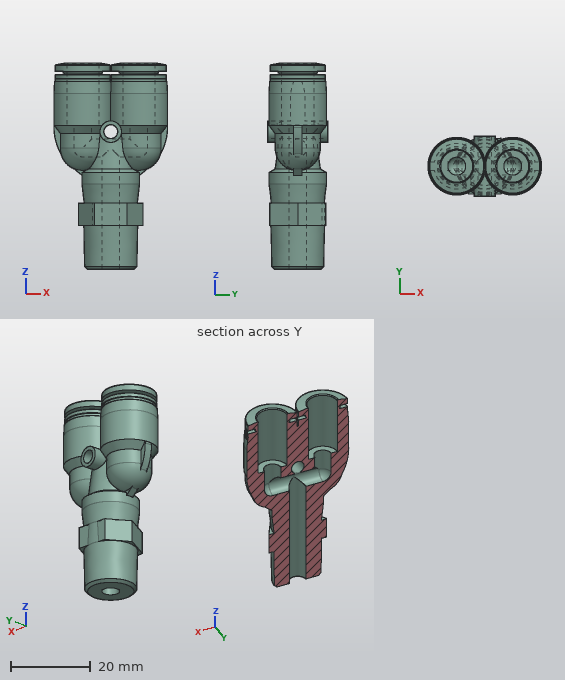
import cadquery as cq
import math

total_height = 51.7
body_diameter = 14.5
overall_width = 28.5
port_offset = (overall_width - body_diameter) / 2
body_radius = body_diameter / 2

elbow_radius = 5.7
elbow_center_z = 30.4
elbow_top_z = 34.0
body_bottom_z = 36.1
body_taper_z = 44.05
body_shoulder_z = 47.0
body_top_z = 48.8
body_shoulder_radius = 7.1
body_rim_radius = 6.95
body_rim_chamfer = 0.1
body_groove_z = 47.75
body_groove_width = 0.15
body_groove_depth = 0.1
neck_radius = 4.9
neck_foot_radius = 4.6
neck_taper_z = 49.2
release_ring_radius = 13.8 / 2
release_ring_bottom_z = 49.6
release_ring_edge_z = 51.05
release_ring_rim_z = 51.25
release_ring_rim_inset = 0.15

socket_diameter = 8.0
socket_chamfer = 0.25
socket_floor_z = body_bottom_z
passage_diameter = 4.5

stem_radius = elbow_radius
stem_top_radius = 4.5
collar_chamfer_top_z = 25.2
collar_top_z = 24.25
collar_bottom_z = 21.4
collar_foot_radius = 6.65
hex_top_z = 16.6
hex_bottom_z = 10.95
hex_across_corners = 16.2
hex_cut_corner = (-4.6, 6.05)
thread_top_radius = 6.75
thread_end_radius = 6.55
thread_end_z = 0.7
thread_tip_radius = 5.8

boss_diameter = 5.4
boss_length = 15.1
boss_hole_diameter = 3.4
boss_z = 34.5

rib_thickness = 2.05
rib_arc_radius = 13.05
rib_arc_top_z = 35.5
rib_arc_angle = math.radians(50)
rib_foot_x = 6.7


def cylinder(radius, bottom_z, top_z, x=0.0):
    """Vertical cylinder between two heights."""
    return cq.Workplane("XY", origin=(x, 0, bottom_z)).circle(radius).extrude(top_z - bottom_z)


def revolve_profile(profile):
    """Turn a closed radius-height outline around the Z axis."""
    return profile.close().revolve(360, (0, 0, 0), (0, 1, 0))


def port_outside():
    """Round-ended elbow, tapered body, neck and release ring, on the Z axis."""
    elbow_mid = elbow_radius * math.sqrt(0.5)
    groove_radius = body_rim_radius - body_groove_depth
    profile = (
        cq.Workplane("XZ")
        .moveTo(0, elbow_center_z - elbow_radius)
        .threePointArc((elbow_mid, elbow_center_z - elbow_mid), (elbow_radius, elbow_center_z))
        .lineTo(elbow_radius, elbow_top_z)
        .lineTo(body_radius, body_bottom_z)
        .lineTo(body_radius, body_taper_z)
        .lineTo(body_shoulder_radius, body_shoulder_z)
        .lineTo(body_rim_radius, body_shoulder_z)
        .lineTo(body_rim_radius, body_groove_z - body_groove_width / 2)
        .lineTo(groove_radius, body_groove_z - body_groove_width / 2)
        .lineTo(groove_radius, body_groove_z + body_groove_width / 2)
        .lineTo(body_rim_radius, body_groove_z + body_groove_width / 2)
        .lineTo(body_rim_radius, body_top_z - body_rim_chamfer)
        .lineTo(body_rim_radius - body_rim_chamfer, body_top_z)
        .lineTo(neck_foot_radius, body_top_z)
        .lineTo(neck_radius, neck_taper_z)
        .lineTo(neck_radius, release_ring_bottom_z)
        .lineTo(release_ring_radius, release_ring_bottom_z)
        .lineTo(release_ring_radius, release_ring_edge_z)
        .lineTo(release_ring_radius - release_ring_rim_inset, release_ring_rim_z)
        .lineTo(socket_diameter / 2 + socket_chamfer, total_height)
        .lineTo(0, total_height)
    )
    return revolve_profile(profile)


def stem():
    """Tapered centre body, collar, hexagon and tapered thread."""
    profile = (
        cq.Workplane("XZ")
        .lineTo(thread_tip_radius, 0)
        .lineTo(thread_end_radius, thread_end_z)
        .lineTo(thread_top_radius, hex_bottom_z)
        .lineTo(collar_foot_radius, hex_top_z)
        .lineTo(body_radius, collar_bottom_z)
        .lineTo(body_radius, collar_top_z)
        .lineTo(stem_radius, collar_chamfer_top_z)
        .lineTo(stem_top_radius, boss_z)
        .lineTo(0, boss_z)
    )
    half_corners = hex_across_corners / 2
    half_flats = half_corners * math.cos(math.radians(30))
    corners = [
        (half_corners, 0),
        (half_corners / 2, half_flats),
        hex_cut_corner,
        (-half_corners, 0),
        (-half_corners / 2, -half_flats),
        (half_corners / 2, -half_flats),
    ]
    hexagon = (
        cq.Workplane("XY", origin=(0, 0, hex_bottom_z))
        .polyline(corners)
        .close()
        .extrude(hex_top_z - hex_bottom_z)
    )
    return revolve_profile(profile).union(hexagon)


def ribs():
    """Thin web under both ports; each edge is an arc running into a tangent line."""
    edge_x = overall_width / 2
    arc_center_x = edge_x - rib_arc_radius

    def arc_point(angle):
        return (
            arc_center_x + rib_arc_radius * math.cos(angle),
            rib_arc_top_z - rib_arc_radius * math.sin(angle),
        )

    arc_end_x, arc_end_z = arc_point(rib_arc_angle)
    foot_z = arc_end_z - (arc_end_x - rib_foot_x) / math.tan(rib_arc_angle)
    right_rib = (
        cq.Workplane("XZ")
        .moveTo(0, body_bottom_z)
        .lineTo(edge_x, body_bottom_z)
        .lineTo(edge_x, rib_arc_top_z)
        .threePointArc(arc_point(rib_arc_angle / 2), (arc_end_x, arc_end_z))
        .lineTo(rib_foot_x, foot_z)
        .lineTo(0, foot_z)
        .close()
        .extrude(rib_thickness / 2, both=True)
    )
    return right_rib.union(right_rib.mirror("YZ"))


def cross_cylinder(diameter):
    """Cylinder along Y at the boss height."""
    return (
        cq.Workplane("XZ", origin=(0, 0, boss_z))
        .circle(diameter / 2)
        .extrude(boss_length / 2, both=True)
    )


def port_bore(x):
    """Chamfered tube socket and the round-ended passage below it."""
    socket = cylinder(socket_diameter / 2, socket_floor_z, total_height, x)
    mouth = (
        cq.Workplane("XY", origin=(x, 0, total_height))
        .circle(socket_diameter / 2 + socket_chamfer)
        .workplane(offset=-socket_chamfer)
        .circle(socket_diameter / 2)
        .loft()
    )
    passage = cylinder(passage_diameter / 2, elbow_center_z, socket_floor_z, x)
    passage_end = cq.Workplane("XY", origin=(x, 0, elbow_center_z)).sphere(passage_diameter / 2)
    return socket.union(mouth).union(passage).union(passage_end)


def cross_passage():
    """Horizontal passage joining both ports."""
    return (
        cq.Workplane("YZ", origin=(0, 0, elbow_center_z))
        .circle(passage_diameter / 2)
        .extrude(port_offset, both=True)
    )


result = stem().union(ribs()).union(cross_cylinder(boss_diameter))
for port_x in (-port_offset, port_offset):
    result = result.union(port_outside().translate((port_x, 0, 0)))

for port_x in (-port_offset, port_offset):
    result = result.cut(port_bore(port_x))
result = result.cut(cross_passage())
result = result.cut(cylinder(passage_diameter / 2, 0, elbow_center_z))
result = result.cut(cross_cylinder(boss_hole_diameter))